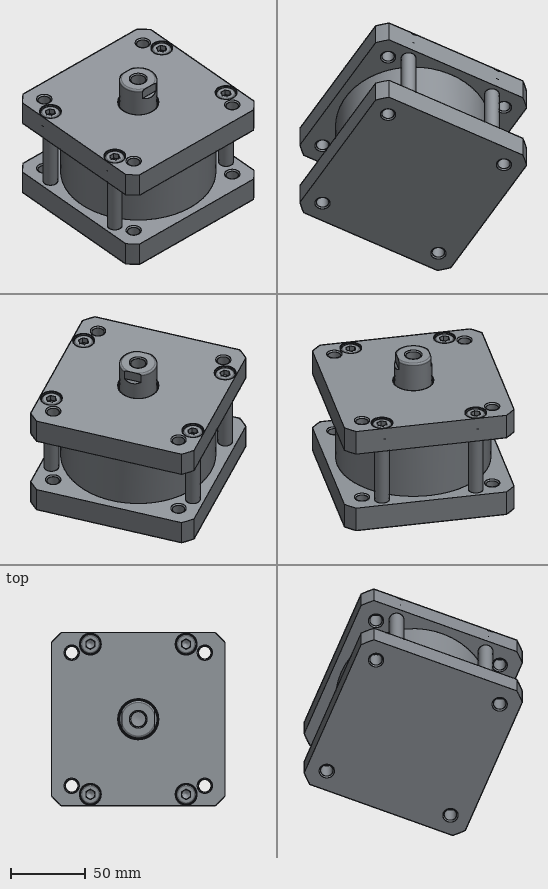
import cadquery as cq
import math

PLATE_WIDTH = 116.0
CORNER_DIAMETER = 155.0
PLATE_THICKNESS = 17.5
BARREL_LENGTH = 42.0
BARREL_DIAMETER = 103.9
ROD_PROJECTION = 20.0

BARREL_BOTTOM = PLATE_THICKNESS
COVER_BOTTOM = BARREL_BOTTOM + BARREL_LENGTH
COVER_TOP = COVER_BOTTOM + PLATE_THICKNESS
ROD_TOP = COVER_TOP + ROD_PROJECTION

MOUNT_SPACING = 89.0
MOUNT_DIAMETER = 8.4
MOUNT_MOUTH_DIAMETER = 10.2

BOLT_SPACING_X = 64.0
BOLT_SPACING_Y = 100.5
SHANK_DIAMETER = 10.0
SOCKET_DEPTH = 11.6
HEAD_DIAMETER = 13.0
HEAD_HEIGHT = 8.0
HEAD_FILLET = 0.8
HEAD_RECESS = 0.6
HEX_ACROSS_FLATS = 6.0
HEX_DEPTH = 4.0
COUNTERBORE_DIAMETER = 14.0
COUNTERBORE_MOUTH_DIAMETER = 14.6

HEAD_TOP = COVER_TOP - HEAD_RECESS
HEAD_BOTTOM = HEAD_TOP - HEAD_HEIGHT
SHANK_BOTTOM = PLATE_THICKNESS - SOCKET_DEPTH

ROD_DIAMETER = 25.0
ROD_FILLET = 1.3
ROD_BORE_DIAMETER = 25.6
ROD_RECESS_DIAMETER = 26.9
ROD_RECESS_DEPTH = 2.3
ROD_RECESS_MOUTH_DIAMETER = 27.5
FLAT_WIDTH = 22.0
FLAT_LENGTH = 7.0
ROD_HOLE_DIAMETER = 10.1
ROD_HOLE_MOUTH_DIAMETER = 11.8
ROD_HOLE_DEPTH = 17.4

HEX_POINT_ANGLE = 118.0
ROD_HOLE_POINT_ANGLE = 166.0


def corner_points(spacing_x, spacing_y):
    """Four points of a rectangle centred on the Z axis."""
    return [(x * spacing_x / 2, y * spacing_y / 2) for x in (-1, 1) for y in (-1, 1)]


MOUNT_POINTS = corner_points(MOUNT_SPACING, MOUNT_SPACING)
BOLT_POINTS = corner_points(BOLT_SPACING_X, BOLT_SPACING_Y)


def cylinder(diameter, bottom, top):
    """Cylinder on the Z axis between two heights."""
    return cq.Workplane("XY").workplane(offset=bottom).circle(diameter / 2).extrude(top - bottom)


def cone(base_diameter, tip_diameter, base_z, tip_z):
    """Cone on the Z axis from a wide base to a narrower tip, which may be a point."""
    outline = [(0, base_z), (base_diameter / 2, base_z), (tip_diameter / 2, tip_z)]
    if tip_diameter > 0:
        outline.append((0, tip_z))
    return cq.Workplane("XZ").polyline(outline).close().revolve(360, (0, 0), (0, 1))


def countersink(mouth_diameter, hole_diameter, face_z, inward):
    """45 degree hole mouth; inward is -1 when the hole goes down from the face, +1 when it goes up."""
    depth = (mouth_diameter - hole_diameter) / 2
    return cone(mouth_diameter, hole_diameter, face_z, face_z + inward * depth)


def drill_point(diameter, base_z, point_angle):
    """Conical bottom of a drilled hole."""
    depth = diameter / 2 / math.tan(math.radians(point_angle / 2))
    return cone(diameter, 0, base_z, base_z - depth)


def cut_at(body, cutter, points):
    """Cut a copy of an on-axis cutter at each point."""
    for x, y in points:
        body = body.cut(cutter.translate((x, y, 0)))
    return body


def plate_blank(bottom):
    """Square plate with turned corners and countersunk mounting holes."""
    top = bottom + PLATE_THICKNESS
    square = (
        cq.Workplane("XY")
        .workplane(offset=bottom)
        .rect(PLATE_WIDTH, PLATE_WIDTH)
        .extrude(PLATE_THICKNESS)
    )
    blank = square.intersect(cylinder(CORNER_DIAMETER, bottom, top))
    mount_hole = (
        cylinder(MOUNT_DIAMETER, bottom, top)
        .union(countersink(MOUNT_MOUTH_DIAMETER, MOUNT_DIAMETER, top, -1))
        .union(countersink(MOUNT_MOUTH_DIAMETER, MOUNT_DIAMETER, bottom, 1))
    )
    return cut_at(blank, mount_hole, MOUNT_POINTS)


def make_base_plate():
    """Lower plate with a blind socket for each tie bolt."""
    socket = cylinder(SHANK_DIAMETER, SHANK_BOTTOM, PLATE_THICKNESS)
    return cut_at(plate_blank(0), socket, BOLT_POINTS)


def make_cover_plate():
    """Upper plate with counterbored tie bolt holes and the rod bore."""
    bolt_hole = (
        cylinder(SHANK_DIAMETER, COVER_BOTTOM, COVER_TOP)
        .union(cylinder(COUNTERBORE_DIAMETER, HEAD_BOTTOM, COVER_TOP))
        .union(countersink(COUNTERBORE_MOUTH_DIAMETER, COUNTERBORE_DIAMETER, COVER_TOP, -1))
    )
    rod_bore = (
        cylinder(ROD_BORE_DIAMETER, COVER_BOTTOM, COVER_TOP)
        .union(cylinder(ROD_RECESS_DIAMETER, COVER_TOP - ROD_RECESS_DEPTH, COVER_TOP))
        .union(countersink(ROD_RECESS_MOUTH_DIAMETER, ROD_RECESS_DIAMETER, COVER_TOP, -1))
    )
    return cut_at(plate_blank(COVER_BOTTOM), bolt_hole, BOLT_POINTS).cut(rod_bore)


def make_barrel():
    """Round body clamped between the plates."""
    return cylinder(BARREL_DIAMETER, BARREL_BOTTOM, COVER_BOTTOM)


def make_rod():
    """Piston rod standing on the barrel, with wrench flats and a drilled end."""
    rod = cylinder(ROD_DIAMETER, COVER_BOTTOM, ROD_TOP).faces(">Z").edges().fillet(ROD_FILLET)

    flat_x = FLAT_WIDTH / 2
    flat_bottom = ROD_TOP - FLAT_LENGTH
    ramp_size = ROD_DIAMETER - FLAT_WIDTH
    flat_cutter = (
        cq.Workplane("XZ")
        .moveTo(flat_x, ROD_TOP)
        .lineTo(flat_x, flat_bottom)
        .lineTo(flat_x + ramp_size, flat_bottom - ramp_size)
        .lineTo(flat_x + ramp_size, ROD_TOP)
        .close()
        .extrude(ROD_DIAMETER / 2, both=True)
    )
    rod = rod.cut(flat_cutter).cut(flat_cutter.mirror("YZ"))

    hole_bottom = ROD_TOP - ROD_HOLE_DEPTH
    end_hole = (
        cylinder(ROD_HOLE_DIAMETER, hole_bottom, ROD_TOP)
        .union(drill_point(ROD_HOLE_DIAMETER, hole_bottom, ROD_HOLE_POINT_ANGLE))
        .union(countersink(ROD_HOLE_MOUTH_DIAMETER, ROD_HOLE_DIAMETER, ROD_TOP, -1))
    )
    return rod.cut(end_hole)


def make_tie_bolt():
    """Socket head bolt on the Z axis."""
    head = cylinder(HEAD_DIAMETER, HEAD_BOTTOM, HEAD_TOP).faces(">Z").edges().fillet(HEAD_FILLET)
    bolt = head.union(cylinder(SHANK_DIAMETER, SHANK_BOTTOM, HEAD_BOTTOM))

    hex_bottom = HEAD_TOP - HEX_DEPTH
    hex_socket = (
        cq.Workplane("XY")
        .workplane(offset=hex_bottom)
        .polygon(6, HEX_ACROSS_FLATS, circumscribed=True)
        .extrude(HEX_DEPTH)
    )
    return bolt.cut(hex_socket).cut(drill_point(HEX_ACROSS_FLATS, hex_bottom, HEX_POINT_ANGLE))


base_plate = make_base_plate()
cover_plate = make_cover_plate()
barrel = make_barrel()
rod = make_rod()
tie_bolts = [make_tie_bolt().translate((x, y, 0)) for x, y in BOLT_POINTS]

result = cq.Compound.makeCompound(
    [base_plate.val(), cover_plate.val(), barrel.val(), rod.val()] + [bolt.val() for bolt in tie_bolts]
)